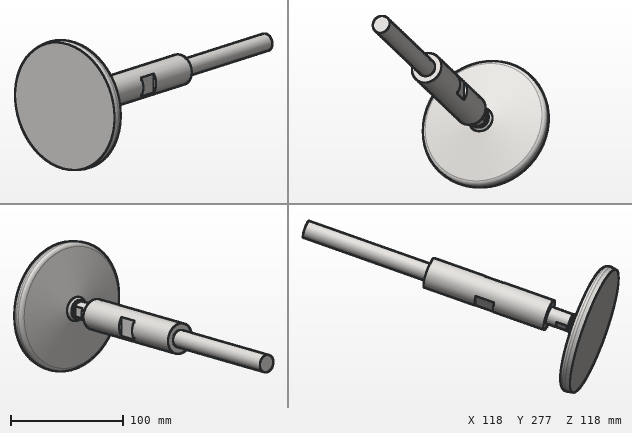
import cadquery as cq


foot_radius = 118.0 / 2
bottom_radius = 58.2
band_bottom = 4.5
band_top = 7.0
shoulder_radius = 55.5
shoulder_height = 10.5
shoulder_bulge = 0.5
cone_top_radius = 11.0
cone_top_height = 17.7
neck_base_radius = 8.3
neck_radius = 7.8
neck_base_height = 20.0
neck_height = 20.5
lip_radius = 9.0
lip_height = 21.0

spindle_radius = 16.0 / 2
overall_length = 277.0
spindle_bottom = 22.0
spindle_tip_chamfer = 0.8
spindle_across_flats = 13.0
spindle_flat_bottom = 23.8
spindle_flat_top = 33.8

sleeve_radius = 28.0 / 2
sleeve_bottom = 43.5
sleeve_top = 158.7
sleeve_across_flats = 22.0
sleeve_flat_length = 17.7
sleeve_flat_bottom = 92.0


def cylinder(radius, y_start, y_end):
    """Solid cylinder along Y between two heights."""
    plane = cq.Plane(origin=(0, y_start, 0), xDir=(1, 0, 0), normal=(0, 1, 0))
    return cq.Workplane(plane).circle(radius).extrude(y_end - y_start)


def cut_wrench_flats(body, radius, across_flats, y_start, y_end):
    """Cut two parallel wrench flats facing -X and +X."""
    depth = radius - across_flats / 2
    for side in (-1, 1):
        cutter = cq.Workplane("XY").box(2 * depth, y_end - y_start, 2 * radius)
        x_center = side * (across_flats / 2 + depth)
        body = body.cut(cutter.translate((x_center, (y_start + y_end) / 2, 0)))
    return body


def make_foot():
    """Conical plate with a rounded rim, a slightly tapered lower edge and a sealing lip on its neck."""
    shoulder_middle = (
        (foot_radius + shoulder_radius) / 2 + shoulder_bulge,
        (band_top + shoulder_height) / 2 + shoulder_bulge,
    )
    profile = (
        cq.Workplane("XY")
        .moveTo(0, 0)
        .lineTo(bottom_radius, 0)
        .lineTo(foot_radius, band_bottom)
        .lineTo(foot_radius, band_top)
        .threePointArc(shoulder_middle, (shoulder_radius, shoulder_height))
        .lineTo(cone_top_radius, cone_top_height)
        .lineTo(neck_base_radius, neck_base_height)
        .lineTo(neck_radius, neck_height)
        .lineTo(lip_radius, lip_height)
        .lineTo(neck_radius, spindle_bottom)
        .lineTo(0, spindle_bottom)
        .close()
    )
    return profile.revolve(360, (0, 0, 0), (0, 1, 0))


def make_spindle():
    """Long rod standing on the foot, with wrench flats just above its lower end."""
    rod = cylinder(spindle_radius, spindle_bottom, overall_length)
    rod = rod.faces("<Y").chamfer(spindle_tip_chamfer)
    return cut_wrench_flats(
        rod, spindle_radius, spindle_across_flats, spindle_flat_bottom, spindle_flat_top
    )


def make_sleeve():
    """Tube around the spindle, with wrench flats at mid-length."""
    tube = cylinder(sleeve_radius, sleeve_bottom, sleeve_top)
    tube = tube.cut(cylinder(spindle_radius, sleeve_bottom, sleeve_top))
    return cut_wrench_flats(
        tube, sleeve_radius, sleeve_across_flats,
        sleeve_flat_bottom, sleeve_flat_bottom + sleeve_flat_length,
    )


foot = make_foot()
spindle = make_spindle()
sleeve = make_sleeve()

result = cq.Compound.makeCompound([foot.val(), spindle.val(), sleeve.val()])